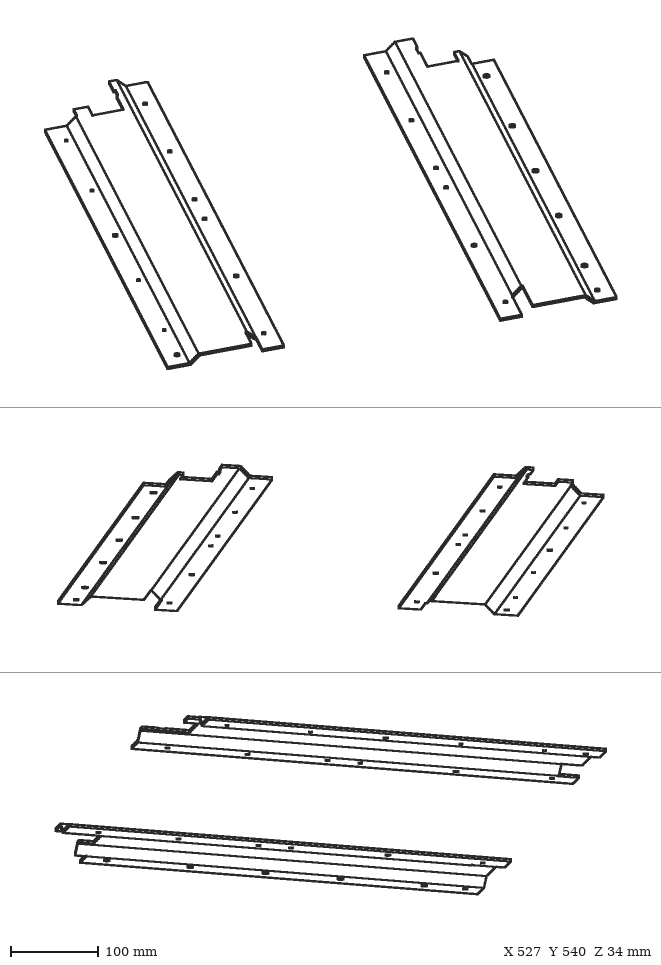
import cadquery as cq
import math

LENGTH = 527.0
SPAN_Y = 540.0
TOTAL_HEIGHT = 34.0

RAIL_WIDTH = 140.0
RAIL_HEIGHT = 14.0
SHEET = 3.0
CROWN_EDGE = 37.0
RISE = RAIL_HEIGHT - SHEET
FLANGE = CROWN_EDGE - RISE
BEND_SHIFT = SHEET * math.tan(math.radians(22.5))

FLANGE_CUT_X = 52.5
TAB_X = 39.0
RECESS_X = 56.0
NOTCH_X = 18.0
NOTCH_LENGTH = 10.0
NOTCH_DEPTH = 2.0

SLOT_START = 26.0
SLOT_WIDTH = 13.0

OUTER_HOLE_INSET = 17.5
INNER_HOLE_INSET = 15.0
WIDE_HOLE_INSET = 13.0
MID_HOLE_X = 269.0
OUTER_OFFSETS = (-189.5, -89.5, 89.5, 189.5)
END_HOLE_X = 507.5
INNER_FIRST_X = 39.0
INNER_PITCH = 95.5
INNER_LAST_X = 498.0
WIDE_HOLE_X = 384.0
INNER_DIAMETER = 4.4
CLEARANCE_DIAMETER = 5.5


def rail_section():
    """Closed hat profile; v runs from the outer long edge to the inner one."""
    far = RAIL_WIDTH
    under_flange = FLANGE + BEND_SHIFT
    under_crown = CROWN_EDGE + BEND_SHIFT
    return [
        (0, 0),
        (under_flange, 0),
        (under_crown, RISE),
        (far - under_crown, RISE),
        (far - under_flange, 0),
        (far, 0),
        (far, SHEET),
        (far - FLANGE, SHEET),
        (far - CROWN_EDGE, RAIL_HEIGHT),
        (CROWN_EDGE, RAIL_HEIGHT),
        (FLANGE, SHEET),
        (0, SHEET),
    ]


def block(x_start, x_end, v_start, v_end):
    """Full-height cutter over a rectangle of the rail's plan."""
    return cq.Workplane("XY").box(
        x_end - x_start, v_end - v_start, RAIL_HEIGHT, centered=False
    ).translate((x_start, v_start, 0))


def drill(rail, points, diameter):
    """Drill vertical through holes at (x, v) points."""
    cutters = cq.Workplane("XY").pushPoints(points).circle(diameter / 2).extrude(RAIL_HEIGHT)
    return rail.cut(cutters)


def cut_left_end(rail, tab_start, tab_end, recess_end):
    """Cut the stepped left end; the v limits are measured from the outer edge."""
    rail = rail.cut(block(0, FLANGE_CUT_X, 0, tab_start))
    rail = rail.cut(block(0, TAB_X, tab_start, tab_end))
    rail = rail.cut(block(0, RECESS_X, tab_end, recess_end))
    notch_end = NOTCH_X + NOTCH_LENGTH
    return rail.cut(block(NOTCH_X, notch_end, recess_end, recess_end + NOTCH_DEPTH))


def cut_right_slot(rail, slot_length):
    slot_end = RAIL_WIDTH - SLOT_START
    return rail.cut(block(LENGTH - slot_length, LENGTH, slot_end - SLOT_WIDTH, slot_end))


def drill_outer_flange(rail, row_diameter, middle_diameter):
    row = [(MID_HOLE_X + offset, OUTER_HOLE_INSET) for offset in OUTER_OFFSETS]
    rail = drill(rail, row, row_diameter)
    rail = drill(rail, [(MID_HOLE_X, OUTER_HOLE_INSET)], middle_diameter)
    return drill(rail, [(END_HOLE_X, OUTER_HOLE_INSET)], CLEARANCE_DIAMETER)


def drill_inner_flange(rail):
    row_x = [INNER_FIRST_X + i * INNER_PITCH for i in range(3)] + [MID_HOLE_X, INNER_LAST_X]
    row_v = RAIL_WIDTH - INNER_HOLE_INSET
    rail = drill(rail, [(x, row_v) for x in row_x], INNER_DIAMETER)
    return drill(rail, [(WIDE_HOLE_X, RAIL_WIDTH - WIDE_HOLE_INSET)], CLEARANCE_DIAMETER)


def make_rail(tab_start, tab_end, recess_end, slot_length, row_diameter, middle_diameter):
    """Rail with its outer edge on Y = 0, its inner edge toward +Y and its base on Z = 0."""
    rail = cq.Workplane("YZ").polyline(rail_section()).close().extrude(LENGTH)
    rail = cut_left_end(rail, tab_start, tab_end, recess_end)
    rail = cut_right_slot(rail, slot_length)
    rail = drill_outer_flange(rail, row_diameter, middle_diameter)
    return drill_inner_flange(rail)


front_rail = make_rail(
    tab_start=39.0, tab_end=56.0, recess_end=93.5, slot_length=24.5,
    row_diameter=3.4, middle_diameter=CLEARANCE_DIAMETER,
).translate((0, 0, TOTAL_HEIGHT - RAIL_HEIGHT))

back_rail = make_rail(
    tab_start=27.0, tab_end=44.0, recess_end=81.0, slot_length=39.0,
    row_diameter=6.5, middle_diameter=6.5,
).mirror("XZ").translate((0, SPAN_Y, 0))

result = cq.Compound.makeCompound([front_rail.val(), back_rail.val()])